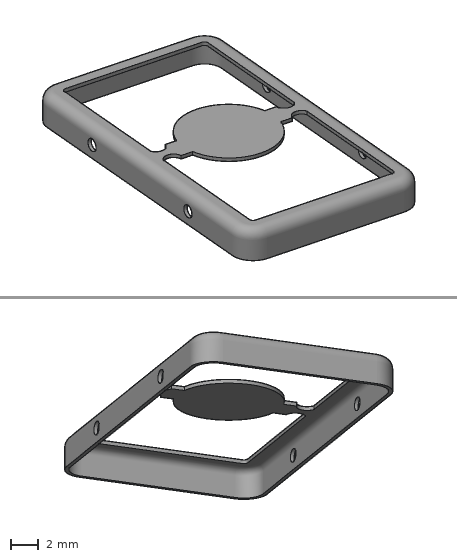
import cadquery as cq

length = 26.8
width = 15.6
height = 2.5
corner_radius = 1.8
top_fillet = 0.8
wall = 0.3

rim_width = 1.5
window_length = length - 2 * rim_width
window_width = width - 2 * rim_width
window_corner_radius = 0.3

disc_diameter = 7.99
tab_width = 2.0
notch_radius = 0.75
notch_x = 1.13
notch_y = 5.63

side_hole_diameter = 1.0
side_hole_x = 6.0
side_hole_z = 1.1


def rounded_block(size_x, size_y, size_z, radius):
    """Block standing on Z = 0 with rounded vertical edges."""
    block = cq.Workplane("XY").box(size_x, size_y, size_z, centered=(True, True, False))
    return block.edges("|Z").fillet(radius)


def make_frame():
    """Thin-walled cover, open below, with a rectangular window in its top."""
    outer = rounded_block(length, width, height, corner_radius)
    outer = outer.faces(">Z").edges().fillet(top_fillet)
    cavity = rounded_block(
        length - 2 * wall, width - 2 * wall, height - wall, corner_radius - wall
    )
    cavity = cavity.faces(">Z").edges().fillet(top_fillet - wall)
    window = rounded_block(window_length, window_width, height, window_corner_radius)
    return outer.cut(cavity).cut(window)


def make_disc_bridge():
    """Disc level with the top face, on two tabs necked by round notches."""
    plane = cq.Workplane("XY").workplane(offset=height - wall)
    notch_points = [(sx * notch_x, sy * notch_y) for sx in (-1, 1) for sy in (-1, 1)]
    tabs = plane.rect(tab_width, window_width).extrude(wall)
    notches = plane.pushPoints(notch_points).circle(notch_radius).extrude(wall)
    disc = plane.circle(disc_diameter / 2).extrude(wall)
    return tabs.cut(notches).union(disc)


def make_side_holes():
    """Cylinders crossing both long walls."""
    return (
        cq.Workplane("XZ")
        .pushPoints([(-side_hole_x, side_hole_z), (side_hole_x, side_hole_z)])
        .circle(side_hole_diameter / 2)
        .extrude(width / 2, both=True)
    )


result = make_frame().union(make_disc_bridge()).cut(make_side_holes())